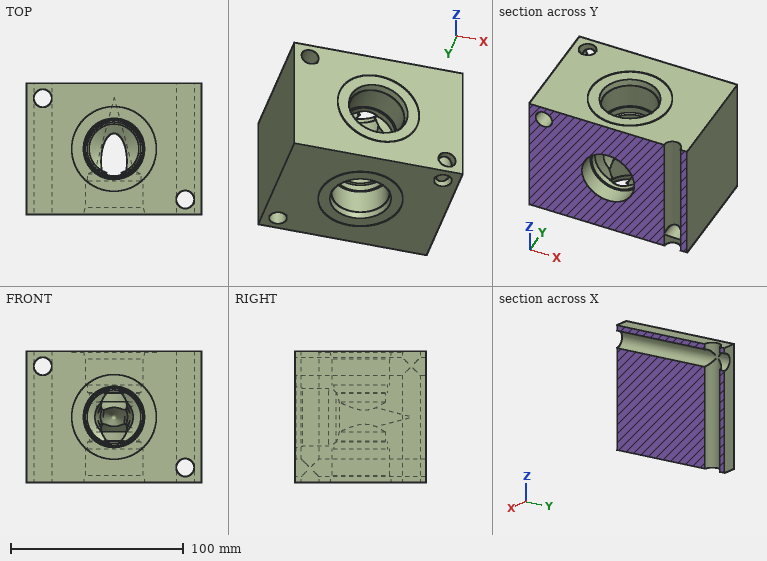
import cadquery as cq
import math

LENGTH = 101.6
WIDTH = 76.2
HEIGHT = 76.2

MOUNT_DIA = 10.31
MOUNT_X = 41.28
MOUNT_OFFSET = 29.36

SPOTFACE_DIA = 49.12
SPOTFACE_DEPTH = 0.5
SEAL_MOUTH_DIA = 35.51
SEAL_BASE_DIA = 33.76
SEAL_DEPTH = 3.8
THREAD_DIA = 33.34
THREAD_DEPTH = 19.05
TAP_DRILL_DIA = 31.27
TAP_DRILL_END = 14.4
TAP_DRILL_HALF_ANGLE = math.radians(65.5)

DEEP_DRILL_DIA = 28.9
DEEP_DRILL_END = 8.7
DEEP_DRILL_HALF_ANGLE = math.radians(60)

PILOT_MOUTH_DIA = 22.2
PILOT_TIP_Y = 30.0


def port_cutter(lower_steps):
    """Port along +Z towards the block centre, from (diameter, z) steps below the shared mouth."""
    face = HEIGHT / 2
    seat = face - SPOTFACE_DEPTH
    seal_base = seat - SEAL_DEPTH
    thread_end = seat - THREAD_DEPTH
    steps = [
        (0, face),
        (SPOTFACE_DIA, face),
        (SPOTFACE_DIA, seat),
        (SEAL_MOUTH_DIA, seat),
        (SEAL_BASE_DIA, seal_base),
        (THREAD_DIA, seal_base),
        (THREAD_DIA, thread_end),
        (TAP_DRILL_DIA, thread_end),
        (TAP_DRILL_DIA, TAP_DRILL_END),
    ]
    profile = [(dia / 2, z) for dia, z in steps + lower_steps]
    return cq.Workplane("XZ").polyline(profile).close().revolve(360, (0, 0, 0), (0, 1, 0))


def tap_drill_point(end_dia):
    """(diameter, z) where the tap drill's conical point has narrowed to the given diameter."""
    depth = (TAP_DRILL_DIA - end_dia) / 2 / math.tan(TAP_DRILL_HALF_ANGLE)
    return end_dia, TAP_DRILL_END - depth


def turn_about_x(shape, angle):
    return shape.rotate((0, 0, 0), (1, 0, 0), angle)


def vertical_port():
    """Port whose deep drill ends in a point close to the block centre."""
    point_depth = DEEP_DRILL_DIA / 2 / math.tan(DEEP_DRILL_HALF_ANGLE)
    return port_cutter([
        tap_drill_point(DEEP_DRILL_DIA),
        (DEEP_DRILL_DIA, DEEP_DRILL_END),
        (0, DEEP_DRILL_END - point_depth),
    ])


def front_port():
    """Port on the -Y face whose tapered pilot runs past the block centre."""
    port = port_cutter([
        tap_drill_point(PILOT_MOUTH_DIA),
        (0, -PILOT_TIP_Y),
    ])
    return turn_about_x(port, 90)


def mounting_holes(plane):
    """Pair of through holes normal to the given plane."""
    centres = [(-MOUNT_X, MOUNT_OFFSET), (MOUNT_X, -MOUNT_OFFSET)]
    circles = cq.Workplane(plane).pushPoints(centres).circle(MOUNT_DIA / 2)
    return circles.extrude(HEIGHT, both=True)


result = cq.Workplane("XY").box(LENGTH, WIDTH, HEIGHT)

top_port = vertical_port()
bottom_port = turn_about_x(vertical_port(), 180)
for port in (top_port, bottom_port, front_port()):
    result = result.cut(port)

for plane in ("XY", "XZ"):
    result = result.cut(mounting_holes(plane))